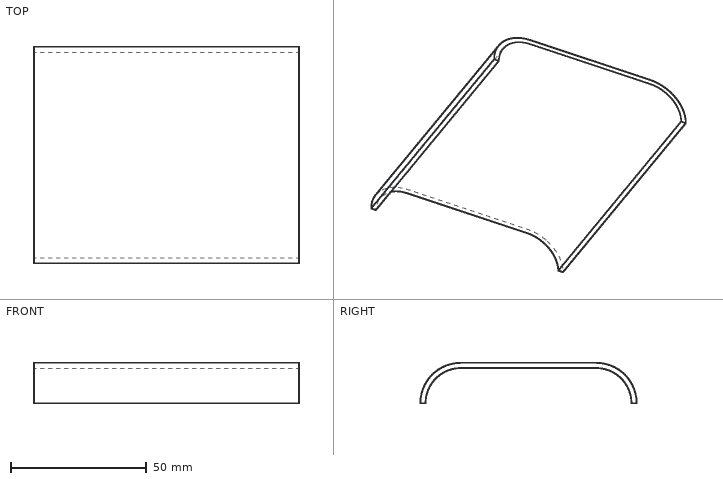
import cadquery as cq

length = 98.0
width = 80.0
bend_radius = 15.0
wall = 2.0


def arch_solid(half_width, radius):
    """Flat-topped bar with quarter-round sides, standing on Z = 0 and centred on X and Y."""
    half_flat = half_width - radius
    diagonal = radius * 0.5 ** 0.5
    return (
        cq.Workplane("YZ", origin=(-length / 2, 0, 0))
        .moveTo(-half_width, 0)
        .threePointArc((-half_flat - diagonal, diagonal), (-half_flat, radius))
        .lineTo(half_flat, radius)
        .threePointArc((half_flat + diagonal, diagonal), (half_width, 0))
        .close()
        .extrude(length)
    )


outer = arch_solid(width / 2, bend_radius)
inner = arch_solid(width / 2 - wall, bend_radius - wall)
result = outer.cut(inner)